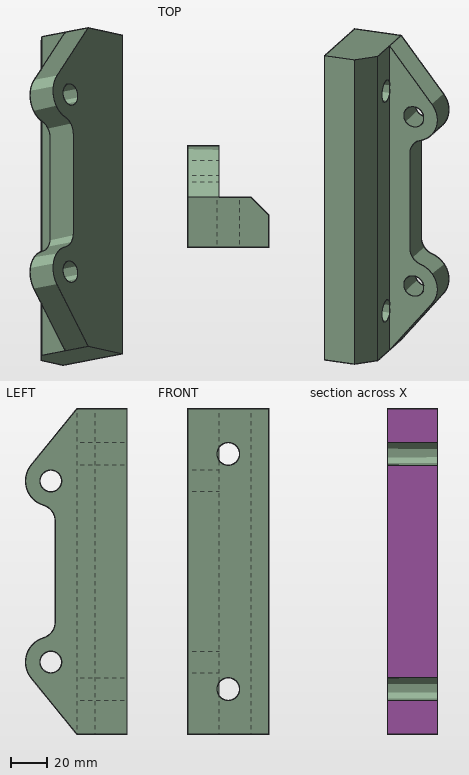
import cadquery as cq
import math

LENGTH = 180.0
WIDTH = 45.0
BASE_DEPTH = 27.7
EDGE_CHAMFER = 9.9

PLATE_THICKNESS = 17.5
WEB_DEPTH = 39.8
TOTAL_DEPTH = 56.2
EAR_RADIUS = 14.0
EAR_SPACING = 100.0
EAR_ROOT_RADIUS = 9.0
EAR_HOLE_DIAMETER = 11.9

MOUNT_HOLE_DIAMETER = 12.5
MOUNT_HOLE_SPACING = 130.0

HALF_LENGTH = LENGTH / 2
EAR_Y = TOTAL_DEPTH - EAR_RADIUS
EAR_Z = EAR_SPACING / 2


def point_on_circle(center, radius, angle):
    """Point on a circle in the YZ plane, with the angle measured from +Y."""
    return (center[0] + radius * math.cos(angle), center[1] + radius * math.sin(angle))


def mirrored(point):
    """The same YZ point below mid-length."""
    return (point[0], -point[1])


def make_base():
    """Full-length bar with its rear +X edge chamfered."""
    outline = [
        (0, 0),
        (WIDTH, 0),
        (WIDTH, BASE_DEPTH - EDGE_CHAMFER),
        (WIDTH - EDGE_CHAMFER, BASE_DEPTH),
        (0, BASE_DEPTH),
    ]
    return cq.Workplane("XY", origin=(0, 0, -HALF_LENGTH)).polyline(outline).close().extrude(LENGTH)


def make_plate():
    """Eared plate whose slopes, ear arcs and root arcs meet tangentially."""
    ear_center = (EAR_Y, EAR_Z)
    slope_foot = (BASE_DEPTH, HALF_LENGTH)

    foot_dy = slope_foot[0] - EAR_Y
    foot_dz = slope_foot[1] - EAR_Z
    foot_angle = math.atan2(foot_dz, foot_dy)
    slope_angle = foot_angle - math.acos(EAR_RADIUS / math.hypot(foot_dy, foot_dz))
    slope_end = point_on_circle(ear_center, EAR_RADIUS, slope_angle)

    root_y = WEB_DEPTH + EAR_ROOT_RADIUS
    root_drop = math.sqrt((EAR_RADIUS + EAR_ROOT_RADIUS) ** 2 - (root_y - EAR_Y) ** 2)
    root_center = (root_y, EAR_Z - root_drop)
    root_angle = math.atan2(-root_drop, root_y - EAR_Y)
    ear_end = point_on_circle(ear_center, EAR_RADIUS, root_angle)
    root_end = (WEB_DEPTH, root_center[1])

    ear_middle = point_on_circle(ear_center, EAR_RADIUS, (slope_angle + root_angle) / 2)

    root_middle = point_on_circle(root_center, EAR_ROOT_RADIUS, root_angle / 2 + math.pi)

    return (
        cq.Workplane("YZ")
        .moveTo(0, HALF_LENGTH)
        .lineTo(*slope_foot)
        .lineTo(*slope_end)
        .threePointArc(ear_middle, ear_end)
        .threePointArc(root_middle, root_end)
        .lineTo(*mirrored(root_end))
        .threePointArc(mirrored(root_middle), mirrored(ear_end))
        .threePointArc(mirrored(ear_middle), mirrored(slope_end))
        .lineTo(*mirrored(slope_foot))
        .lineTo(0, -HALF_LENGTH)
        .close()
        .extrude(PLATE_THICKNESS)
    )


def make_mount_holes():
    """Cylinders along Y that stop level with the rear face of the base."""
    return (
        cq.Workplane("XZ")
        .pushPoints([(WIDTH / 2, side * MOUNT_HOLE_SPACING / 2) for side in (-1, 1)])
        .circle(MOUNT_HOLE_DIAMETER / 2)
        .extrude(-BASE_DEPTH)
    )


def make_ear_holes():
    """Cylinders along X through both ears."""
    return (
        cq.Workplane("YZ")
        .pushPoints([(EAR_Y, side * EAR_Z) for side in (-1, 1)])
        .circle(EAR_HOLE_DIAMETER / 2)
        .extrude(PLATE_THICKNESS)
    )


result = make_base().union(make_plate()).cut(make_mount_holes()).cut(make_ear_holes())